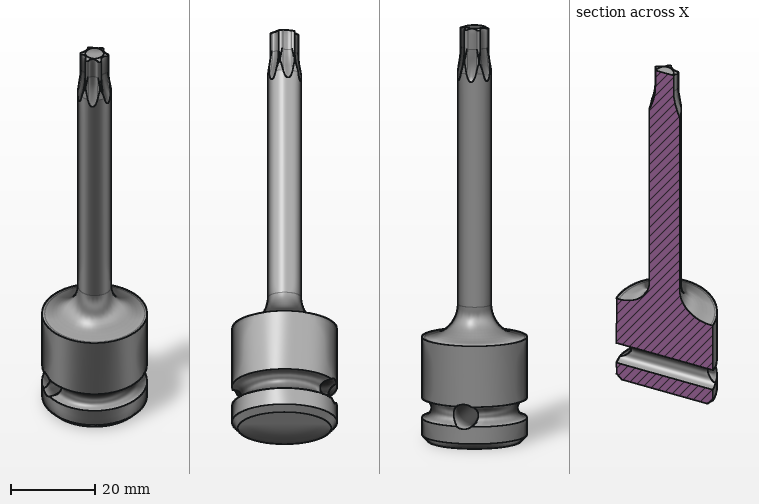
import cadquery as cq
import math

total_height = 100.0

body_radius = 12.5
shoulder_height = 25.1
bottom_chamfer_height = 1.5
bottom_chamfer_width = 1.4
groove_height = 8.0
groove_half_width = 2.4
groove_depth = 2.2
pin_hole_radius = 3.0

shank_radius = 4.0
flare_radius = 7.9

lobe_count = 6
lobe_tip_radius = 3.4
lobe_round_radius = 0.5
valley_radius = 2.4
straight_tip_length = 5.0
taper_top_radius = 3.2
taper_length = 5.7
runout_length = 7.7
tip_bevel_height = 0.4
tip_bevel_inner_radius = 2.2

straight_tip_base = total_height - straight_tip_length
taper_base = straight_tip_base - taper_length
half_pitch = math.pi / lobe_count

lobe_center_radius = lobe_tip_radius - lobe_round_radius
chord_factor = 2 * lobe_center_radius * math.cos(half_pitch)
flute_radius = (
    lobe_center_radius**2 + valley_radius**2 - chord_factor * valley_radius - lobe_round_radius**2
) / (chord_factor - 2 * valley_radius + 2 * lobe_round_radius)
flute_center_radius = valley_radius + flute_radius

runout_rise = shank_radius - valley_radius
runout_radius = (runout_length**2 + runout_rise**2) / (2 * runout_rise)


def polar(radius, angle):
    return (radius * math.cos(angle), radius * math.sin(angle))


def tangent_point(side):
    """Point where the flute on the +X axis meets the lobe on the given side."""
    lobe_x, lobe_y = polar(lobe_center_radius, side * half_pitch)
    share = lobe_round_radius / (lobe_round_radius + flute_radius)
    return (lobe_x + share * (flute_center_radius - lobe_x), lobe_y * (1 - share))


def lobe_arc_middle(side):
    """Point halfway along the lobe arc between its tip and the flute."""
    center_x, center_y = polar(lobe_center_radius, side * half_pitch)
    end_x, end_y = tangent_point(side)
    tip_angle = side * half_pitch
    end_angle = math.atan2(end_y - center_y, end_x - center_x)
    offset_x, offset_y = polar(lobe_round_radius, (tip_angle + end_angle) / 2)
    return (center_x + offset_x, center_y + offset_y)


def rotated(point, angle):
    return polar(math.hypot(*point), math.atan2(point[1], point[0]) + angle)


def add_flute(outline, angle):
    """Extend an outline from one lobe tip through a flute to the next tip."""
    stops = [
        (lobe_arc_middle(-1), tangent_point(-1)),
        ((valley_radius, 0), tangent_point(1)),
        (lobe_arc_middle(1), polar(lobe_tip_radius, half_pitch)),
    ]
    for middle, end in stops:
        outline = outline.threePointArc(rotated(middle, angle), rotated(end, angle))
    return outline


def make_turned_body():
    """Body, flare, shank and taper turned about Z."""
    return (
        cq.Workplane("XZ")
        .moveTo(0, 0)
        .lineTo(body_radius - bottom_chamfer_width, 0)
        .lineTo(body_radius, bottom_chamfer_height)
        .lineTo(body_radius, groove_height - groove_half_width)
        .threePointArc(
            (body_radius - groove_depth, groove_height),
            (body_radius, groove_height + groove_half_width),
        )
        .lineTo(body_radius, shoulder_height)
        .lineTo(shank_radius + flare_radius, shoulder_height)
        .radiusArc((shank_radius, shoulder_height + flare_radius), flare_radius)
        .lineTo(shank_radius, taper_base)
        .lineTo(taper_top_radius, straight_tip_base)
        .lineTo(0, straight_tip_base)
        .close()
        .revolve(360, (0, 0), (0, 1))
    )


def make_pin_hole():
    """Cross hole along Y through the groove."""
    return (
        cq.Workplane("XZ")
        .center(0, groove_height)
        .circle(pin_hole_radius)
        .extrude(body_radius, both=True)
    )


def make_flute_runout():
    """Cutter for one flute, swung outwards below the straight tip."""
    outer_reach = 2 * shank_radius
    runout_axis = valley_radius + runout_radius
    runout_angle = math.degrees(math.asin(runout_length / runout_radius))
    outline = cq.Workplane("XY", origin=(0, 0, straight_tip_base))
    outline = outline.moveTo(*polar(lobe_tip_radius, -half_pitch))
    outline = add_flute(outline, 0)
    return (
        outline.lineTo(*polar(outer_reach, half_pitch))
        .lineTo(*polar(outer_reach, -half_pitch))
        .close()
        .revolve(runout_angle, (runout_axis, 0), (runout_axis, -1))
    )


def make_straight_tip():
    """Six-lobed prism with a shallow conical bevel, rooted inside the taper."""
    outline = cq.Workplane("XY", origin=(0, 0, taper_base))
    outline = outline.moveTo(*polar(lobe_tip_radius, 0))
    for index in range(lobe_count):
        outline = add_flute(outline, (2 * index + 1) * half_pitch)
    prism = outline.close().extrude(total_height - taper_base)
    bevel_envelope = (
        cq.Workplane("XZ")
        .moveTo(0, taper_base)
        .lineTo(shank_radius, taper_base)
        .lineTo(shank_radius, total_height - tip_bevel_height)
        .lineTo(lobe_tip_radius, total_height - tip_bevel_height)
        .lineTo(tip_bevel_inner_radius, total_height)
        .lineTo(0, total_height)
        .close()
        .revolve(360, (0, 0), (0, 1))
    )
    return prism.intersect(bevel_envelope)


result = make_turned_body().cut(make_pin_hole())
flute_runout = make_flute_runout()
for index in range(lobe_count):
    flute_angle = math.degrees((2 * index + 1) * half_pitch)
    result = result.cut(flute_runout.rotate((0, 0, 0), (0, 0, 1), flute_angle))
result = result.union(make_straight_tip())